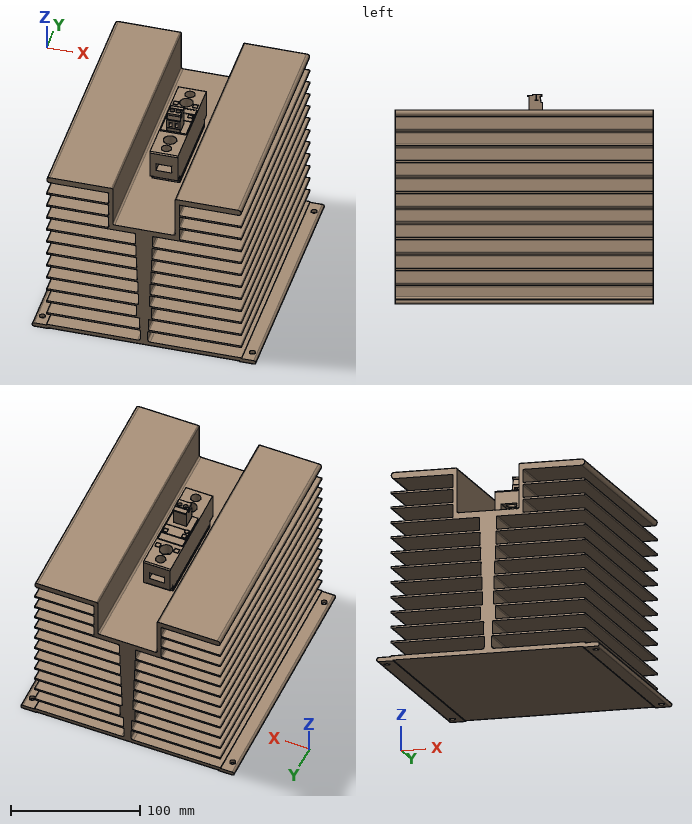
import cadquery as cq

LENGTH = 199.8

BASE_WIDTH = 179.5
BASE_FOOT_THICKNESS = 3.4
BASE_WEB_BOTTOM = 0.6
BASE_WEB_TOP = 4.1
BASE_WEB_WIDTH = 156.6
BASE_RECESS_WIDTH = 153.0
MOUNT_HOLE_DIAMETER = 4.5
MOUNT_HOLE_SPACING_X = 168.6
MOUNT_HOLE_SPACING_Y = 180.0

FIN_SPAN = 156.6
FIN_THICKNESS = 1.5
FIN_COUNT = 11
FIN_PITCH = 11.91
FIRST_FIN_Z = 15.0
FIN_ROOT_RADIUS = 0.8
CHANNEL_FIN = 8

STEM_FOOT_RADIUS = 2.0
STEM_BOTTOM_HALF = 3.0
STEM_STEP = 0.49
BAND_HALF = 6.15
BAND_GAP = 1

CHANNEL_WIDTH = 50.0
CHANNEL_WALL = 3.3
CHANNEL_FLOOR = 114.4
CHANNEL_FLOOR_RADIUS = 1.5
CHANNEL_LIP_RADIUS = 1.0
FLANGE_SPAN = 156.0
FLANGE_TOP = 150.3
FLANGE_THICKNESS = 5.0

RELAY_WIDTH = 22.5
RELAY_LENGTH = 84.4
RELAY_HEIGHT = 30.4
RELAY_END_CHAMFER = 1.0
PLATE_HEIGHT = 6.5
PLATE_END_INSET = 6.0
GROOVE_BOTTOM = 0.9
GROOVE_HEIGHT = 1.2
GROOVE_DEPTH = 0.8

END_HOLE_Y = 34.5
END_HOLE_DIAMETER = 7.8
SCREW_WELL_Y = 23.9
SCREW_WELL_DIAMETER = 10.4
SCREW_HOLE_DIAMETER = 4.6
WINDOW_WIDTH = 12.6
WINDOW_BOTTOM = 13.2
WINDOW_TOP = 19.7
WINDOW_DEPTH = 24.0

COVER_WIDTH = 21.0
COVER_BACK_Y = 16.0
COVER_STEP_Y = 9.4
COVER_DROP_Y = 0.4
COVER_FRONT_Y = -14.8
COVER_TOP = 32.0
COVER_REAR_TOP = 31.2
COVER_FRONT_TOP = 31.6
MARK_X = 7.8
MARK_DEPTH = 0.4
REAR_MARK_Y = 21.6
REAR_MARK_SIZE = 3.8
COVER_MARK_Y = 6.6
COVER_MARK_SIZE = 3.3
INDICATOR_Y = 1.3
INDICATOR_DIAMETER = 3.6

PLUG_WIDTH = 10.8
OVERALL_HEIGHT = 162.4
PLUG_HEIGHT = OVERALL_HEIGHT - CHANNEL_FLOOR - COVER_FRONT_TOP
PLUG_BACK_Y = -3.5
PLUG_FRONT_Y = -14.2
PLUG_NECK_TOP_Y = -12.3
PLUG_NECK_BOTTOM_Y = -13.1
HEADER_FRONT_Y = -14.6
HEADER_TOP = 2.9
PLUG_SHELF_Z = 10.2
PLUG_EYEBROW_Y = -13.6
PLUG_EYEBROW_THICKNESS = 1.6
PLUG_CATCH_Y = -2.5
PLUG_BACK_DROP = 0.8
PLUG_BACK_TOP = PLUG_HEIGHT - PLUG_BACK_DROP
PLUG_CATCH_THICKNESS = 1.0
PLUG_STEP_Y = -6.5
WAY_SPACING = 4.9
WAY_SCREW_Y = -9.0
WAY_SCREW_DIAMETER = 3.6
WAY_SCREW_DEPTH = 3.0
WIRE_ENTRY_WIDTH = 2.4
WIRE_ENTRY_BOTTOM = 4.3
WIRE_ENTRY_HEIGHT = 3.6
WIRE_ENTRY_DEPTH = 6.0
SIDE_KEY_Y = -9.4
SIDE_KEY_FOOT_Z = 11.5
SIDE_KEY_FOOT_WIDTH = 2.4
SIDE_KEY_LINE = 0.4
SIDE_KEY_DEPTH = 0.3


def block(x_range, y_range, z_range):
    """Box between the given limits on each axis."""
    (x0, x1), (y0, y1), (z0, z1) = x_range, y_range, z_range
    return cq.Workplane("XY").box(x1 - x0, y1 - y0, z1 - z0, centered=False).translate((x0, y0, z0))


def centered_block(width, length, z0, z1):
    """Box centred on the Z axis."""
    return block((-width / 2, width / 2), (-length / 2, length / 2), (z0, z1))


def post(diameter, x, y, z0, z1):
    """Upright cylinder between two heights."""
    return cq.Workplane("XY", origin=(x, y, z0)).circle(diameter / 2).extrude(z1 - z0)


def round_edged_plate(width, thickness, z_center):
    """Full-length plate with fully rounded long edges."""
    section = cq.Workplane("XZ").center(0, z_center).slot2D(width, thickness)
    return section.extrude(LENGTH / 2, both=True)


def fin_z(index):
    return FIRST_FIN_Z + index * FIN_PITCH


def fin_bottom(index):
    return fin_z(index) - FIN_THICKNESS / 2


def fin_top(index):
    return fin_z(index) + FIN_THICKNESS / 2


def make_base():
    base = round_edged_plate(BASE_WIDTH, BASE_FOOT_THICKNESS, BASE_FOOT_THICKNESS / 2)
    base = base.union(centered_block(BASE_WEB_WIDTH, LENGTH, BASE_WEB_BOTTOM, BASE_WEB_TOP))
    base = base.cut(centered_block(BASE_RECESS_WIDTH, LENGTH, 0, BASE_WEB_BOTTOM))
    for x in (-MOUNT_HOLE_SPACING_X / 2, MOUNT_HOLE_SPACING_X / 2):
        for y in (-MOUNT_HOLE_SPACING_Y / 2, MOUNT_HOLE_SPACING_Y / 2):
            base = base.cut(post(MOUNT_HOLE_DIAMETER, x, y, 0, BASE_FOOT_THICKNESS))
    return base


def flared_web(half_width, z_bottom, z_top, bottom_radius, top_radius):
    """Full-length vertical web whose sides flare into the plates below and above it."""
    foot = half_width + bottom_radius
    head = half_width + top_radius
    return (
        cq.Workplane("XZ")
        .moveTo(-foot, z_bottom)
        .radiusArc((-half_width, z_bottom + bottom_radius), -bottom_radius)
        .lineTo(-half_width, z_top - top_radius)
        .radiusArc((-head, z_top), -top_radius)
        .lineTo(head, z_top)
        .radiusArc((half_width, z_top - top_radius), -top_radius)
        .lineTo(half_width, z_bottom + bottom_radius)
        .radiusArc((foot, z_bottom), -bottom_radius)
        .close()
        .extrude(LENGTH / 2, both=True)
    )


def make_stem():
    """Stem that widens by one step per fin gap, with a thicker band in one gap."""
    stem = flared_web(STEM_BOTTOM_HALF, BASE_WEB_TOP, fin_bottom(0), STEM_FOOT_RADIUS, FIN_ROOT_RADIUS)
    for gap in range(CHANNEL_FIN):
        half_width = STEM_BOTTOM_HALF + (gap + 1) * STEM_STEP
        if gap == BAND_GAP:
            half_width = BAND_HALF
        web = flared_web(half_width, fin_top(gap), fin_bottom(gap + 1), FIN_ROOT_RADIUS, FIN_ROOT_RADIUS)
        stem = stem.union(web)
        core = centered_block(2 * half_width, LENGTH, fin_bottom(gap), fin_top(gap))
        stem = stem.union(core)
    return stem


def make_channel():
    """Open channel with a round-edged flange on either side."""
    outer_half = CHANNEL_WIDTH / 2 + CHANNEL_WALL
    body = centered_block(2 * outer_half, LENGTH, fin_bottom(CHANNEL_FIN), FLANGE_TOP)
    flange_z = FLANGE_TOP - FLANGE_THICKNESS / 2
    body = body.union(round_edged_plate(FLANGE_SPAN, FLANGE_THICKNESS, flange_z))
    for index in range(FIN_COUNT):
        body = body.union(round_edged_plate(FIN_SPAN, FIN_THICKNESS, fin_z(index)))
    plates_above = [fin_bottom(index) for index in range(CHANNEL_FIN + 1, FIN_COUNT)]
    plates_above.append(FLANGE_TOP - FLANGE_THICKNESS)
    for index, z_above in enumerate(plates_above, CHANNEL_FIN):
        web = flared_web(outer_half, fin_top(index), z_above, FIN_ROOT_RADIUS, FIN_ROOT_RADIUS)
        body = body.union(web)
    opening = centered_block(CHANNEL_WIDTH, LENGTH, CHANNEL_FLOOR, FLANGE_TOP)
    opening = opening.edges("|Y and <Z").fillet(CHANNEL_FLOOR_RADIUS)
    body = body.cut(opening)
    half = CHANNEL_WIDTH / 2
    lip_finder = cq.selectors.BoxSelector(
        (-half - CHANNEL_LIP_RADIUS / 2, -LENGTH, FLANGE_TOP - CHANNEL_LIP_RADIUS / 2),
        (half + CHANNEL_LIP_RADIUS / 2, LENGTH, FLANGE_TOP + CHANNEL_LIP_RADIUS / 2),
    )
    return body.edges("|Y").edges(lip_finder).fillet(CHANNEL_LIP_RADIUS)


def make_relay_housing():
    """Relay housing with its underside at Z = 0."""
    half_width = RELAY_WIDTH / 2
    half_length = RELAY_LENGTH / 2
    body = centered_block(RELAY_WIDTH, RELAY_LENGTH, PLATE_HEIGHT, RELAY_HEIGHT)
    body = body.edges("|X and >Z").chamfer(RELAY_END_CHAMFER)
    plate_length = RELAY_LENGTH - 2 * PLATE_END_INSET
    body = body.union(centered_block(RELAY_WIDTH, plate_length, 0, PLATE_HEIGHT))
    groove_top = GROOVE_BOTTOM + GROOVE_HEIGHT
    groove_floor = half_width - GROOVE_DEPTH
    for side in (-1, 1):
        groove_x = sorted((side * half_width, side * groove_floor))
        body = body.cut(block(groove_x, (-half_length, half_length), (GROOVE_BOTTOM, groove_top)))
        window_y = sorted((side * half_length, side * (half_length - WINDOW_DEPTH)))
        window_x = (-WINDOW_WIDTH / 2, WINDOW_WIDTH / 2)
        body = body.cut(block(window_x, window_y, (WINDOW_BOTTOM, WINDOW_TOP)))
        body = body.cut(post(END_HOLE_DIAMETER, 0, side * END_HOLE_Y, WINDOW_BOTTOM, RELAY_HEIGHT))
        well_y = side * SCREW_WELL_Y
        body = body.cut(post(SCREW_WELL_DIAMETER, 0, well_y, WINDOW_BOTTOM, RELAY_HEIGHT))
        body = body.cut(post(SCREW_HOLE_DIAMETER, 0, well_y, 0, WINDOW_BOTTOM))
        mark = cq.Workplane("XY").box(REAR_MARK_SIZE, REAR_MARK_SIZE, 2 * MARK_DEPTH)
        body = body.cut(mark.translate((side * MARK_X, REAR_MARK_Y, RELAY_HEIGHT)))
    return body.union(make_cover())


def make_cover():
    """Raised cover with a middle step standing above its front and rear steps."""
    x_range = (-COVER_WIDTH / 2, COVER_WIDTH / 2)
    cover = block(x_range, (COVER_FRONT_Y, COVER_DROP_Y), (RELAY_HEIGHT, COVER_FRONT_TOP))
    cover = cover.union(block(x_range, (COVER_DROP_Y, COVER_STEP_Y), (RELAY_HEIGHT, COVER_TOP)))
    cover = cover.union(block(x_range, (COVER_STEP_Y, COVER_BACK_Y), (RELAY_HEIGHT, COVER_REAR_TOP)))
    for side in (-1, 1):
        mark = cq.Workplane("XY").box(COVER_MARK_SIZE, COVER_MARK_SIZE, 2 * MARK_DEPTH)
        cover = cover.cut(mark.translate((side * MARK_X, COVER_MARK_Y, COVER_TOP)))
    indicator = post(INDICATOR_DIAMETER, -MARK_X, INDICATOR_Y, COVER_TOP - 2 * MARK_DEPTH, COVER_TOP)
    return cover.cut(indicator)


def make_plug():
    """Two-way screw terminal plug with its underside at Z = 0."""
    catch_bottom = PLUG_BACK_TOP - PLUG_CATCH_THICKNESS
    brow_bottom = PLUG_HEIGHT - PLUG_EYEBROW_THICKNESS
    plug = (
        cq.Workplane("YZ")
        .polyline([
            (PLUG_BACK_Y, 0),
            (PLUG_BACK_Y, catch_bottom),
            (PLUG_CATCH_Y, catch_bottom),
            (PLUG_CATCH_Y, PLUG_BACK_TOP),
            (PLUG_STEP_Y, PLUG_BACK_TOP),
            (PLUG_STEP_Y, PLUG_HEIGHT),
            (PLUG_EYEBROW_Y, PLUG_HEIGHT),
            (PLUG_EYEBROW_Y, brow_bottom),
            (PLUG_NECK_TOP_Y, brow_bottom),
            (PLUG_NECK_BOTTOM_Y, PLUG_SHELF_Z),
            (PLUG_FRONT_Y, PLUG_SHELF_Z),
            (PLUG_FRONT_Y, HEADER_TOP),
            (HEADER_FRONT_Y, HEADER_TOP),
            (HEADER_FRONT_Y, 0),
        ])
        .close()
        .extrude(PLUG_WIDTH / 2, both=True)
    )
    for x in (-WAY_SPACING / 2, WAY_SPACING / 2):
        plug = plug.cut(
            post(WAY_SCREW_DIAMETER, x, WAY_SCREW_Y, PLUG_HEIGHT - WAY_SCREW_DEPTH, PLUG_HEIGHT)
        )
        entry_x = (x - WIRE_ENTRY_WIDTH / 2, x + WIRE_ENTRY_WIDTH / 2)
        entry_y = (PLUG_FRONT_Y, PLUG_FRONT_Y + WIRE_ENTRY_DEPTH)
        entry_z = (WIRE_ENTRY_BOTTOM, WIRE_ENTRY_BOTTOM + WIRE_ENTRY_HEIGHT)
        plug = plug.cut(block(entry_x, entry_y, entry_z))
    return plug.cut(make_side_key(-1)).cut(make_side_key(1))


def make_side_key(side):
    """Shallow inverted-T groove on one flank of the plug."""
    half = PLUG_WIDTH / 2
    x_range = sorted((side * half, side * (half - SIDE_KEY_DEPTH)))
    line_y = (SIDE_KEY_Y - SIDE_KEY_LINE / 2, SIDE_KEY_Y + SIDE_KEY_LINE / 2)
    foot_y = (SIDE_KEY_Y - SIDE_KEY_FOOT_WIDTH / 2, SIDE_KEY_Y + SIDE_KEY_FOOT_WIDTH / 2)
    upright = block(x_range, line_y, (SIDE_KEY_FOOT_Z, PLUG_HEIGHT))
    foot = block(x_range, foot_y, (SIDE_KEY_FOOT_Z, SIDE_KEY_FOOT_Z + SIDE_KEY_LINE))
    return upright.union(foot)


heat_sink = make_base().union(make_channel()).union(make_stem())
relay = make_relay_housing().union(make_plug().translate((0, 0, COVER_FRONT_TOP)))
result = heat_sink.union(relay.translate((0, 0, CHANNEL_FLOOR)))